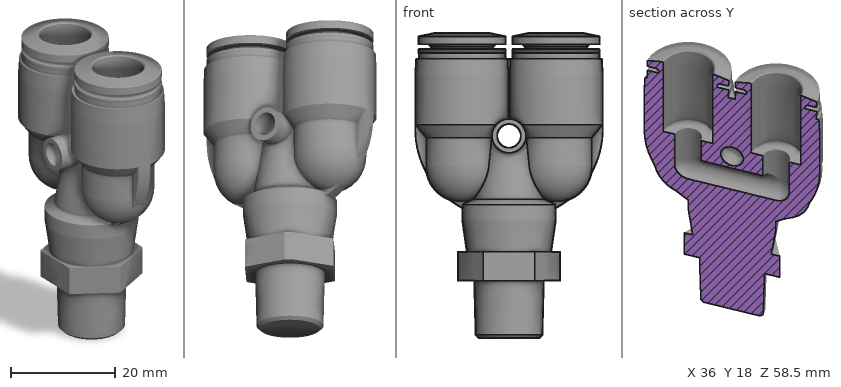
import cadquery as cq
import math

PORT_OFFSET = 9.0
PORT_POSITIONS = (-PORT_OFFSET, PORT_OFFSET)
TOTAL_HEIGHT = 58.5

THREAD_CHAMFER_HEIGHT = 0.6
THREAD_CHAMFER_WIDTH = 0.65
THREAD_LOWER_RADIUS = 6.43
THREAD_UPPER_RADIUS = 6.7
HEX_BOTTOM_Z = 11.0
HEX_TOP_Z = 16.5
HEX_ACROSS_FLATS = 17.0
HEX_CLIP_X = -4.1
HEX_CLIP_Y = 7.5
COLLAR_RADIUS = 9.0
COLLAR_LOWER_RADIUS = 8.1
COLLAR_LOWER_Z = 22.7
COLLAR_UPPER_Z = 25.6
NECK_BOTTOM_Z = 26.6
NECK_BOTTOM_RADIUS = 7.1
NECK_TOP_Z = 40.9
NECK_TOP_RADIUS = 4.9

BARREL_RADIUS = 7.0
BALL_CENTER_Z = 33.05
SHOULDER_BOTTOM_Z = 38.4
SLEEVE_RADIUS = 9.0
SLEEVE_BOTTOM_Z = 40.9
SLEEVE_TAPER_Z = 50.5
SLEEVE_TOP_Z = 53.5
SLEEVE_TOP_RADIUS = 8.82

BUTTON_RADIUS = 8.4
SEAT_RADIUS = 8.35
SEAT_LIP_RADIUS = 8.4
SEAT_LIP_BOTTOM_Z = 54.6
SEAT_STEP_HEIGHT = 0.15
SEAT_LIP_CHAMFER = 0.15
SEAT_TOP_Z = 55.42
BUTTON_NECK_RADIUS = 6.0
BUTTON_FLARE_RADIUS = 6.4
BUTTON_FLARE_Z = 55.85
BUTTON_BOTTOM_Z = 56.3
BUTTON_EDGE_Z = 57.75
BUTTON_EDGE_CHAMFER = 0.12

TUBE_BORE_RADIUS = 5.0
TUBE_BORE_MOUTH_RADIUS = 5.25
TUBE_BORE_CHAMFER = 0.25
TUBE_BORE_FLOOR_Z = SLEEVE_BOTTOM_Z
CHANNEL_RADIUS = 2.65

WEB_THICKNESS = 2.75
WEB_WIDTH = 2.2
RIB_ARC_TOP_Z = 40.0
RIB_ARC_RADIUS = 17.1
RIB_BOTTOM_Z = 24.8
EYELET_Z = 38.75
EYELET_LENGTH = 18.0
EYELET_DIAMETER = 6.5
EYELET_HOLE_DIAMETER = 4.5


def revolve_profile(profile):
    """Turn a closed (radius, Z) profile once around the Z axis."""
    return profile.close().revolve(360, (0, 0, 0), (0, 1, 0))


def rod_along_y(diameter, length, z):
    """Cylinder along Y, centred on the Y = 0 plane at height z."""
    return cq.Workplane("XZ").center(0, z).circle(diameter / 2).extrude(length / 2, both=True)


def make_stem():
    profile = (
        cq.Workplane("XZ")
        .moveTo(0, 0)
        .lineTo(THREAD_LOWER_RADIUS - THREAD_CHAMFER_WIDTH, 0)
        .lineTo(THREAD_LOWER_RADIUS, THREAD_CHAMFER_HEIGHT)
        .lineTo(THREAD_UPPER_RADIUS, HEX_BOTTOM_Z)
        .lineTo(COLLAR_LOWER_RADIUS, HEX_BOTTOM_Z)
        .lineTo(COLLAR_LOWER_RADIUS, HEX_TOP_Z)
        .lineTo(COLLAR_RADIUS, COLLAR_LOWER_Z)
        .lineTo(COLLAR_RADIUS, COLLAR_UPPER_Z)
        .lineTo(NECK_BOTTOM_RADIUS, NECK_BOTTOM_Z)
        .lineTo(NECK_TOP_RADIUS, NECK_TOP_Z)
        .lineTo(0, NECK_TOP_Z)
    )
    return revolve_profile(profile)


def make_hexagon():
    """Wrench hexagon with corners on the X axis and one clipped corner at -X, +Y."""
    half_flats = HEX_ACROSS_FLATS / 2
    corner_radius = half_flats / math.cos(math.pi / 6)
    clip_side_x = -corner_radius + HEX_CLIP_Y * math.tan(math.pi / 6)
    outline = [
        (corner_radius, 0),
        (corner_radius / 2, half_flats),
        (HEX_CLIP_X, half_flats),
        (clip_side_x, HEX_CLIP_Y),
        (-corner_radius, 0),
        (-corner_radius / 2, -half_flats),
        (corner_radius / 2, -half_flats),
    ]
    plane = cq.Workplane("XY", origin=(0, 0, HEX_BOTTOM_Z))
    return plane.polyline(outline).close().extrude(HEX_TOP_Z - HEX_BOTTOM_Z)


def make_port():
    """One port body with its release button, centred on the Z axis."""
    arc_mid = BARREL_RADIUS * math.sqrt(0.5)
    profile = (
        cq.Workplane("XZ")
        .moveTo(0, BALL_CENTER_Z - BARREL_RADIUS)
        .threePointArc((arc_mid, BALL_CENTER_Z - arc_mid), (BARREL_RADIUS, BALL_CENTER_Z))
        .lineTo(BARREL_RADIUS, SHOULDER_BOTTOM_Z)
        .lineTo(SLEEVE_RADIUS, SLEEVE_BOTTOM_Z)
        .lineTo(SLEEVE_RADIUS, SLEEVE_TAPER_Z)
        .lineTo(SLEEVE_TOP_RADIUS, SLEEVE_TOP_Z)
        .lineTo(SEAT_RADIUS, SLEEVE_TOP_Z)
        .lineTo(SEAT_RADIUS, SEAT_LIP_BOTTOM_Z)
        .lineTo(SEAT_LIP_RADIUS, SEAT_LIP_BOTTOM_Z + SEAT_STEP_HEIGHT)
        .lineTo(SEAT_LIP_RADIUS, SEAT_TOP_Z - SEAT_LIP_CHAMFER)
        .lineTo(SEAT_LIP_RADIUS - SEAT_LIP_CHAMFER, SEAT_TOP_Z)
        .lineTo(BUTTON_NECK_RADIUS, SEAT_TOP_Z)
        .lineTo(BUTTON_NECK_RADIUS, BUTTON_FLARE_Z)
        .lineTo(BUTTON_FLARE_RADIUS, BUTTON_BOTTOM_Z)
        .lineTo(BUTTON_RADIUS, BUTTON_BOTTOM_Z)
        .lineTo(BUTTON_RADIUS, BUTTON_EDGE_Z)
        .lineTo(BUTTON_RADIUS - BUTTON_EDGE_CHAMFER, BUTTON_EDGE_Z + BUTTON_EDGE_CHAMFER)
        .lineTo(TUBE_BORE_MOUTH_RADIUS, TOTAL_HEIGHT)
        .lineTo(0, TOTAL_HEIGHT)
    )
    return revolve_profile(profile)


def make_port_passage():
    """Tube bore, and the narrower bore below it that ends in a hemisphere."""
    arc_mid = CHANNEL_RADIUS * math.sqrt(0.5)
    profile = (
        cq.Workplane("XZ")
        .moveTo(0, BALL_CENTER_Z - CHANNEL_RADIUS)
        .threePointArc((arc_mid, BALL_CENTER_Z - arc_mid), (CHANNEL_RADIUS, BALL_CENTER_Z))
        .lineTo(CHANNEL_RADIUS, TUBE_BORE_FLOOR_Z)
        .lineTo(TUBE_BORE_RADIUS, TUBE_BORE_FLOOR_Z)
        .lineTo(TUBE_BORE_RADIUS, TOTAL_HEIGHT - TUBE_BORE_CHAMFER)
        .lineTo(TUBE_BORE_MOUTH_RADIUS, TOTAL_HEIGHT)
        .lineTo(0, TOTAL_HEIGHT)
    )
    return revolve_profile(profile)


def make_cross_channel():
    """Channel along X that joins the lower ends of the two port passages."""
    plane = cq.Workplane("YZ").center(0, BALL_CENTER_Z)
    return plane.circle(CHANNEL_RADIUS).extrude(PORT_OFFSET, both=True)


def make_ribs():
    """Thin plate in the XZ plane whose curved sides form the two outer ribs."""
    side_x = PORT_OFFSET + SLEEVE_RADIUS
    arc_center_x = side_x - RIB_ARC_RADIUS

    def arc_x(z):
        return arc_center_x + math.sqrt(RIB_ARC_RADIUS**2 - (RIB_ARC_TOP_Z - z) ** 2)

    mid_z = (RIB_ARC_TOP_Z + RIB_BOTTOM_Z) / 2
    bottom_x = arc_x(RIB_BOTTOM_Z)
    outline = (
        cq.Workplane("XZ")
        .moveTo(-side_x, SLEEVE_BOTTOM_Z)
        .lineTo(-side_x, RIB_ARC_TOP_Z)
        .threePointArc((-arc_x(mid_z), mid_z), (-bottom_x, RIB_BOTTOM_Z))
        .lineTo(bottom_x, RIB_BOTTOM_Z)
        .threePointArc((arc_x(mid_z), mid_z), (side_x, RIB_ARC_TOP_Z))
        .lineTo(side_x, SLEEVE_BOTTOM_Z)
        .close()
    )
    return outline.extrude(WEB_THICKNESS / 2, both=True)


def make_web():
    """Thin wall that fills the gap between the two sleeves."""
    height = SLEEVE_TOP_Z - SLEEVE_BOTTOM_Z
    web = cq.Workplane("XY", origin=(0, 0, SLEEVE_BOTTOM_Z))
    return web.rect(WEB_WIDTH, WEB_THICKNESS).extrude(height)


result = make_stem().union(make_hexagon())
result = result.union(make_ribs()).union(make_web())
result = result.union(rod_along_y(EYELET_DIAMETER, EYELET_LENGTH, EYELET_Z))
for port_x in PORT_POSITIONS:
    result = result.union(make_port().translate((port_x, 0, 0)))
for port_x in PORT_POSITIONS:
    result = result.cut(make_port_passage().translate((port_x, 0, 0)))
result = result.cut(make_cross_channel())
result = result.cut(rod_along_y(EYELET_HOLE_DIAMETER, EYELET_LENGTH, EYELET_Z))